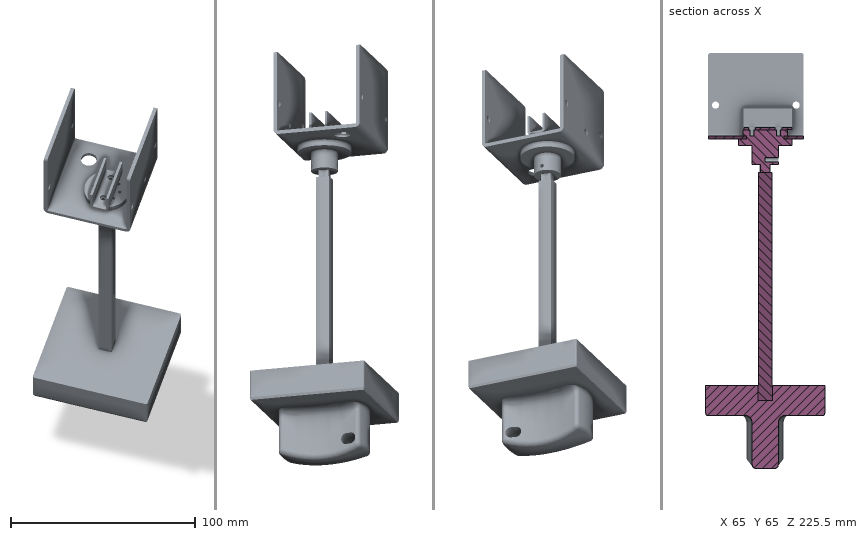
import cadquery as cq
import math

total_height = 225.5
box_bottom = 28.9
box_top = 45.3
stub_bottom = 160.8
hub_bottom = 164.8
lower_flange_bottom = 175.2
bracket_bottom = 178.5
fork_top = 195.3

box_side = 65.0
box_corner_radius = 1.0
box_rim_chamfer = 1.4
box_rim_inset = 0.5

knob_radius = 24.8
knob_waist = 7.2
knob_corner_half_width = 10.5
knob_tip_rise = 5.2
knob_edge_radius = 2.3
knob_root_radius = 3.8

lock_slot_x = -16.2
lock_slot_z = 9.5
lock_slot_length = 8.5
lock_slot_width = 6.0

shaft_side = 7.5
shaft_socket_depth = 8.1

sheet = 2.0
bracket_left = -29.5
bracket_right = 19.5
bracket_front = -21.0
bracket_back = 31.0
bend_radius = 2.7
wall_corner_radius = 1.5
wall_hole_diameter = 3.8
wall_hole_z = 197.0
wall_hole_inset = 4.0
extra_hole_y = 7.7
extra_hole_z = 190.5
base_hole_diameter = 8.5
base_hole_x = -16.0
base_hole_y = 19.2

hub_diameter = 14.7
lower_flange_diameter = 29.5
upper_flange_diameter = 24.5
upper_flange_height = 3.4
core_diameter = 20.0
stub_side = 5.6
stub_turn = 6.0
screw_hole_count = 8
screw_hole_diameter = 1.8
screw_circle_radius = 7.2
hub_hole_diameter = 2.0
hub_hole_z = 167.5

fork_sheet = 1.4
fork_width = 10.4
fork_front = -14.7
fork_back = 11.7
fork_bend_radius = 2.0
fork_hole_diameter = 3.5

bracket_base_top = bracket_bottom + sheet
upper_flange_top = bracket_base_top + upper_flange_height
shaft_bottom = box_top - shaft_socket_depth


def cylinder(diameter, bottom, top):
    """Round bar on the Z axis between two heights."""
    return cq.Workplane("XY").workplane(offset=bottom).circle(diameter / 2).extrude(top - bottom)


def square_bar(side, bottom, top):
    """Square bar on the Z axis between two heights."""
    return cq.Workplane("XY").workplane(offset=bottom).rect(side, side).extrude(top - bottom)


def bent_channel(left, right, front, back, bottom, top, thickness, outer_radius):
    """U-shaped sheet, open upward, with two rounded bends running along Y."""
    channel = (
        cq.Workplane("XY")
        .box(right - left, back - front, top - bottom, centered=False)
        .translate((left, front, bottom))
        .edges("|Y and <Z")
        .fillet(outer_radius)
    )
    inside = (
        cq.Workplane("XY")
        .box(right - left - 2 * thickness, back - front, top - bottom, centered=False)
        .translate((left + thickness, front, bottom + thickness))
        .edges("|Y and <Z")
        .fillet(outer_radius - thickness)
    )
    return channel.cut(inside)


def knob_side_cutter():
    """Block that hollows one side of the knob; its rounded top edge leaves the root fillet."""
    corner_x = math.sqrt(knob_radius**2 - knob_corner_half_width**2)
    bulge = knob_corner_half_width - knob_waist
    hollow_radius = (corner_x**2 + bulge**2) / (2 * bulge)
    reach = box_side / 2
    reach_y = knob_waist + hollow_radius - math.sqrt(hollow_radius**2 - reach**2)
    return (
        cq.Workplane("XY")
        .moveTo(-reach, reach_y)
        .threePointArc((0, knob_waist), (reach, reach_y))
        .lineTo(reach, reach)
        .lineTo(-reach, reach)
        .close()
        .extrude(box_bottom)
        .faces("<Y")
        .edges(">Z")
        .fillet(knob_root_radius)
    )


def make_knob():
    """Grip with hollowed sides, round ends, a curved tip and a padlock slot."""
    tip_profile = (
        cq.Workplane("XZ")
        .moveTo(-knob_radius, knob_tip_rise)
        .threePointArc((0, 0), (knob_radius, knob_tip_rise))
        .lineTo(knob_radius, box_bottom)
        .lineTo(-knob_radius, box_bottom)
        .close()
        .extrude(knob_radius, both=True)
    )
    knob = cylinder(2 * knob_radius, 0, box_bottom).intersect(tip_profile)
    cutter = knob_side_cutter()
    knob = knob.cut(cutter).cut(cutter.mirror("XZ"))
    knob = knob.edges("|Z").fillet(knob_edge_radius)
    knob = knob.faces("<Z").edges().fillet(knob_edge_radius)
    lock_slot = (
        cq.Workplane("XZ")
        .center(lock_slot_x, lock_slot_z)
        .slot2D(lock_slot_length, lock_slot_width)
        .extrude(knob_radius, both=True)
    )
    return knob.cut(lock_slot)


def make_handle():
    """Square box with the knob below it and a socket for the shaft on top."""
    box = square_bar(box_side, box_bottom, box_top).edges("|Z").fillet(box_corner_radius)
    box = box.faces("<Z").chamfer(box_rim_chamfer, box_rim_inset)
    socket = square_bar(shaft_side, shaft_bottom, box_top)
    return box.union(make_knob()).cut(socket)


def make_shaft():
    """Square bar from the handle socket up to the coupling stub."""
    return square_bar(shaft_side, shaft_bottom, stub_bottom)


def make_bracket():
    """Bent sheet channel that carries the coupling in its base."""
    bracket = bent_channel(
        bracket_left, bracket_right, bracket_front, bracket_back,
        bracket_bottom, total_height, sheet, bend_radius,
    )
    bracket = bracket.edges("|X and >Z").fillet(wall_corner_radius)
    wall_holes = (
        cq.Workplane("YZ")
        .workplane(offset=bracket_left)
        .pushPoints([
            (bracket_front + wall_hole_inset, wall_hole_z),
            (bracket_back - wall_hole_inset, wall_hole_z),
        ])
        .circle(wall_hole_diameter / 2)
        .extrude(bracket_right - bracket_left)
    )
    extra_hole = (
        cq.Workplane("YZ")
        .workplane(offset=bracket_right - sheet)
        .center(extra_hole_y, extra_hole_z)
        .circle(wall_hole_diameter / 2)
        .extrude(sheet)
    )
    base_hole = cylinder(base_hole_diameter, bracket_bottom, bracket_base_top)
    base_hole = base_hole.translate((base_hole_x, base_hole_y, 0))
    core_hole = cylinder(core_diameter, bracket_bottom, bracket_base_top)
    return bracket.cut(wall_holes).cut(extra_hole).cut(base_hole).cut(core_hole)


def make_coupling():
    """Flanged hub held in the bracket base, with a square stub toward the shaft."""
    stub = square_bar(stub_side, stub_bottom, hub_bottom)
    stub = stub.rotate((0, 0, 0), (0, 0, 1), stub_turn)
    coupling = (
        cylinder(hub_diameter, hub_bottom, lower_flange_bottom)
        .union(cylinder(lower_flange_diameter, lower_flange_bottom, bracket_bottom))
        .union(cylinder(core_diameter, bracket_bottom, bracket_base_top))
        .union(cylinder(upper_flange_diameter, bracket_base_top, upper_flange_top))
        .union(stub)
    )
    screw_holes = (
        cq.Workplane("XY")
        .workplane(offset=bracket_base_top)
        .polarArray(screw_circle_radius, 0, 360, screw_hole_count)
        .circle(screw_hole_diameter / 2)
        .extrude(upper_flange_height)
    )
    hub_hole = (
        cq.Workplane("XZ")
        .center(0, hub_hole_z)
        .circle(hub_hole_diameter / 2)
        .extrude(hub_diameter / 2)
    )
    return coupling.cut(screw_holes).cut(hub_hole)


def make_fork():
    """Small bent sheet channel on top of the coupling, with two screw holes in its base."""
    fork = bent_channel(
        -fork_width / 2, fork_width / 2, fork_front, fork_back,
        upper_flange_top, fork_top, fork_sheet, fork_bend_radius,
    )
    screw_holes = (
        cq.Workplane("XY")
        .workplane(offset=upper_flange_top)
        .pushPoints([(0, -screw_circle_radius), (0, screw_circle_radius)])
        .circle(fork_hole_diameter / 2)
        .extrude(fork_sheet)
    )
    return fork.cut(screw_holes)


handle = make_handle()
shaft = make_shaft()
bracket = make_bracket()
coupling = make_coupling()
fork = make_fork()

result = cq.Compound.makeCompound([
    handle.val(),
    shaft.val(),
    bracket.val(),
    coupling.val(),
    fork.val(),
])